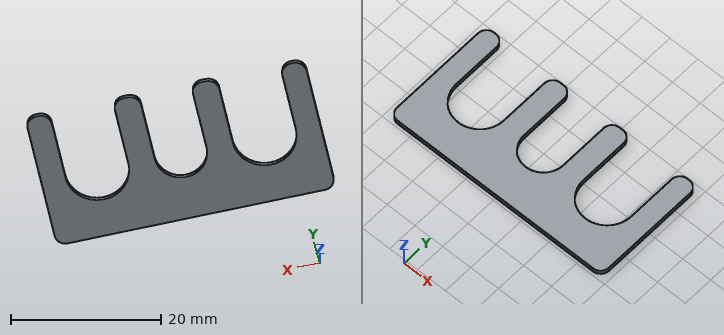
import cadquery as cq

length = 38.1
depth = 19.05
thickness = 0.8
corner_radius = 1.5

outer_slot_width = 8.6
middle_slot_width = 7.1
outer_slot_offset = 11.43
slots = [
    (-outer_slot_offset, outer_slot_width),
    (0.0, middle_slot_width),
    (outer_slot_offset, outer_slot_width),
]


def slot_cutter(center_x, width):
    """Through slot running from a round end at mid-depth out of the +Y edge."""
    radius = width / 2
    return (
        cq.Workplane("XY", origin=(center_x, 0, -thickness / 2))
        .moveTo(-radius, depth / 2)
        .lineTo(-radius, 0)
        .threePointArc((0, -radius), (radius, 0))
        .lineTo(radius, depth / 2)
        .close()
        .extrude(thickness)
    )


plate = cq.Workplane("XY").box(length, depth, thickness)
for center_x, width in slots:
    plate = plate.cut(slot_cutter(center_x, width))

prong_tip_edges = plate.faces(">Y").edges("|Z")
rear_corner_edges = plate.faces("<Y").edges("|Z")
result = prong_tip_edges.add(rear_corner_edges).fillet(corner_radius)